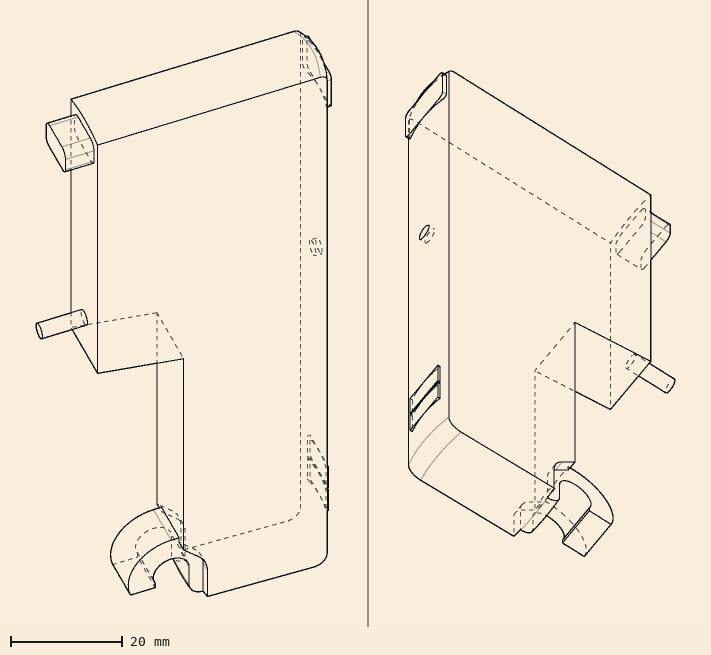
import cadquery as cq
import math


width = 12.3
height = 128.5
depth = 45.6
upper_front_bottom = 68.4
lower_front = 16.7
lower_front_top = 65.4

top_crown = 0.9
back_crown = 1.0
bottom_crown = 1.0
bottom_rise = 0.9
top_back_radius = 1.4
foot_radius = 2.76

hook_width = 8.2
hook_y = 15.2
hook_z = 8.6
hook_outer_radius = 8.4
hook_inner_radius = 3.5
hook_tip_z = 5.9
hook_tip_y = 12.1
foot_front = hook_y + hook_inner_radius
notch_radius = 6.2
notch_wall = hook_y + notch_radius
foot_overlap = 2.6

key_width = 9.0
key_bottom = 120.5
key_height = 5.7
key_length = 5.5
key_top_radius = 1.7
key_bottom_radius = 1.3
pin_diameter = 3.0
pin_length = 8.7
pin_z = 77.0

label_width = 11.3
label_bottom = 118.1
label_height = 8.5
label_radius = 1.0
button_width = 8.5
button_height = 5.4
button_bottoms = (12.5, 18.4)
pad_depth = 2.6
recess_depth = 1.3

bottom_angle = math.degrees(math.atan2(bottom_rise, depth - foot_radius - foot_front))
oversize = 12.9


def side_extrusion(outline, thickness):
    """Extrude an outline drawn in the YZ plane, centred on X = 0."""
    return outline.close().extrude(thickness / 2, both=True)


def crowned_section(plane, crest, rise, base):
    """Closed section across the width: flat at base, arched up to crest."""
    half = width / 2
    return (
        cq.Workplane(plane)
        .moveTo(-half, base)
        .lineTo(-half, crest - rise)
        .threePointArc((0, crest), (half, crest - rise))
        .lineTo(half, base)
        .close()
    )


def bottom_envelope():
    """Everything above the crowned bottom, which climbs gently towards the front."""
    pivot_y = depth - foot_radius
    plane = cq.Plane(origin=(0, depth + oversize, 0), xDir=(1, 0, 0), normal=(0, -1, 0))
    section = crowned_section(plane, 0, -bottom_crown, height + oversize)
    prism = section.extrude(depth + 2 * oversize)
    return prism.rotate((0, pivot_y, 0), (1, pivot_y, 0), -bottom_angle)


def crowned_envelope():
    """Housing block with crowned top, back and bottom and rounded back corners."""
    top_plane = cq.Plane(origin=(0, depth, 0), xDir=(1, 0, 0), normal=(0, -1, 0))
    top = crowned_section(top_plane, height, top_crown, -oversize).extrude(depth)
    back_plane = cq.Plane(origin=(0, 0, -oversize), xDir=(1, 0, 0), normal=(0, 0, 1))
    back = crowned_section(back_plane, depth, back_crown, 0).extrude(height + 2 * oversize)
    block = top.intersect(back).intersect(bottom_envelope())
    upper_corner = cq.selectors.NearestToPointSelector((0, depth, height))
    lower_corner = cq.selectors.NearestToPointSelector((0, depth, 0))
    return block.edges(upper_corner).fillet(top_back_radius).edges(lower_corner).fillet(foot_radius)


def housing():
    diagonal = notch_radius * math.sqrt(0.5)
    tangent_y = hook_y + diagonal
    tangent_z = hook_z + diagonal
    tangent_sum = tangent_y + tangent_z
    outline = (
        cq.Workplane("YZ")
        .moveTo(0, height)
        .lineTo(0, upper_front_bottom)
        .lineTo(lower_front, lower_front_top)
        .lineTo(lower_front, tangent_sum - lower_front)
        .lineTo(tangent_y, tangent_z)
        .radiusArc((notch_wall, hook_z), notch_radius)
        .lineTo(notch_wall, -oversize)
        .lineTo(depth, -oversize)
        .lineTo(depth, height)
    )
    return side_extrusion(outline, width).intersect(crowned_envelope())


def hook():
    """Narrow foot in front of the housing with the hook curling forward from it."""
    outer_tip_y = hook_y - math.sqrt(hook_outer_radius**2 - (hook_z - hook_tip_z) ** 2)
    inner_arc_end_z = hook_z - math.sqrt(hook_inner_radius**2 - (hook_y - hook_tip_y) ** 2)
    outer_diagonal = hook_outer_radius * math.sqrt(0.5)
    hook_top = hook_z + hook_outer_radius
    root_y = notch_wall + foot_overlap
    outline = (
        cq.Workplane("YZ")
        .moveTo(root_y, -oversize)
        .lineTo(foot_front, -oversize)
        .lineTo(foot_front, hook_z)
        .threePointArc((hook_y, hook_z + hook_inner_radius), (hook_tip_y, inner_arc_end_z))
        .lineTo(hook_tip_y, hook_tip_z)
        .lineTo(outer_tip_y, hook_tip_z)
        .threePointArc((hook_y - outer_diagonal, hook_z + outer_diagonal), (hook_y, hook_top))
        .lineTo(root_y, hook_top)
    )
    body = side_extrusion(outline, hook_width).intersect(bottom_envelope())
    lower_corner = cq.selectors.NearestToPointSelector((0, foot_front, bottom_rise))
    return body.edges(lower_corner).fillet(foot_radius)


def front_key():
    key = cq.Workplane("XY").box(key_width, key_length, key_height, centered=(True, False, False))
    key = key.translate((0, -key_length, key_bottom))
    key = key.edges("|Y and >Z").fillet(key_top_radius)
    return key.edges("|Y and <Z").fillet(key_bottom_radius)


def round_bar(start_y, length):
    """Bar on the pin axis, running forward from start_y."""
    plane = cq.Workplane("XZ", origin=(0, start_y, pin_z))
    return plane.circle(pin_diameter / 2).extrude(length)


def back_pad(pad_width, bottom, pad_height):
    pad = cq.Workplane("XY").box(pad_width, pad_depth, pad_height, centered=(True, False, False))
    return pad.translate((0, depth - pad_depth, bottom))


label = back_pad(label_width, label_bottom, label_height).edges("|Y").fillet(label_radius)

result = housing().union(hook())
result = result.union(front_key()).union(round_bar(0, pin_length))
result = result.union(label)
for button_bottom in button_bottoms:
    result = result.union(back_pad(button_width, button_bottom, button_height))
result = result.cut(round_bar(depth, recess_depth))